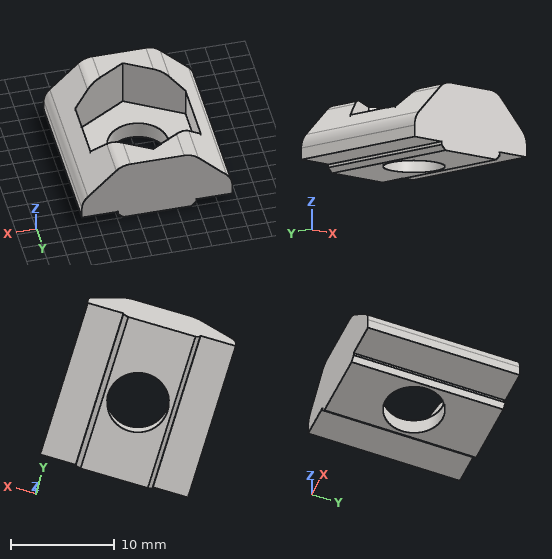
import cadquery as cq
import math

width = 15.0
length = 16.0
height = 6.8

shoulder_chamfer = 4.0
edge_radius = 2.0

rail_width = 7.8
rail_height = 0.8
rail_chamfer = 0.5

hex_across_flats = 11.0
hex_depth = 5.0
hole_diameter = 6.0


def make_body():
    """Block above the rail with 45-degree shoulders and rounded edges."""
    block = cq.Workplane("XY").box(
        width, length, height - rail_height, centered=(True, True, False)
    )
    block = block.translate((0, 0, rail_height))
    block = block.faces(">Z").edges("|Y").chamfer(shoulder_chamfer)
    upper_edges = block.edges("|Y").edges("not(<Z)")
    return upper_edges.fillet(edge_radius)


def make_rail():
    """Full-length rail with chamfered lower edges."""
    rail = cq.Workplane("XY").box(
        rail_width, length, rail_height, centered=(True, True, False)
    )
    return rail.faces("<Z").edges("|Y").chamfer(rail_chamfer)


def make_nut_pocket():
    """Hexagonal prism with its flats facing +X and -X."""
    across_corners = hex_across_flats / math.cos(math.pi / 6)
    return (
        cq.Workplane("XY")
        .workplane(offset=height - hex_depth)
        .transformed(rotate=(0, 0, 90))
        .polygon(6, across_corners)
        .extrude(hex_depth)
    )


def make_hole():
    """Cylinder through the full height."""
    return cq.Workplane("XY").circle(hole_diameter / 2).extrude(height)


result = make_body().union(make_rail()).cut(make_nut_pocket()).cut(make_hole())